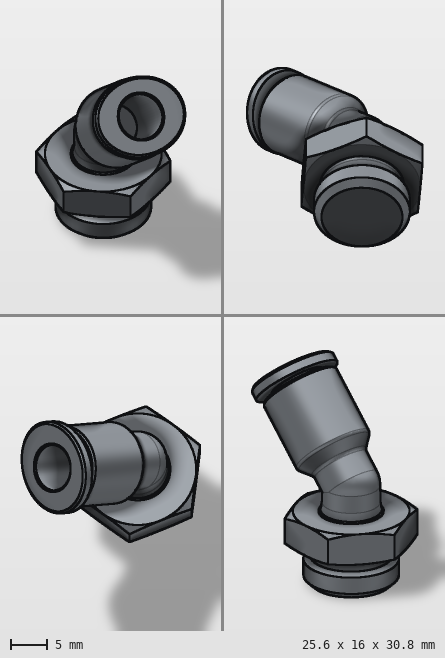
import cadquery as cq
import math

thread_radius = 6.55
thread_end_radius = 5.55
thread_chamfer_height = 1.0
thread_top_z = 3.42
groove_radius = 5.65
groove_bottom_z = 3.9
groove_top_z = 5.48
collar_radius = 5.8

across_flats = 16.0
hex_bottom_z = 5.98
hex_height = 4.53
hex_top_z = hex_bottom_z + hex_height
top_corner_drop = 0.5
bottom_corner_drop = 0.37

tube_radius = 4.0
flare_radius = 4.22
foot_radius = 4.47
foot_height = 0.22
flare_height = 1.4
bend_z = 14.4
bend_angle = 45.0

socket_radius = 5.6
cone_start = 3.45
cone_end = 5.35
socket_end = 15.65
socket_chamfer = 0.3
cone_top_fillet = 0.7
cone_foot_fillet = 0.8

stem_radius = 3.88
collar_gap = 0.7
collar_thickness = 1.6
collar_half_width = 6.5
collar_half_depth = 5.5
collar_chamfer = 0.3
bore_radius = 3.1
bore_depth = 12.32
bore_chamfer = 0.22
bore_chamfer_angle = 45.0

collar_start = socket_end + collar_gap
collar_end = collar_start + collar_thickness
corner_radius = across_flats / math.sqrt(3)
branch_tilt = math.radians(bend_angle)
branch_direction = (math.sin(branch_tilt), 0, math.cos(branch_tilt))
branch_x = (math.cos(branch_tilt), 0, -math.sin(branch_tilt))


def branch_plane(distance):
    """Plane across the tilted axis, at a distance from the bend centre."""
    origin = (distance * branch_direction[0], 0, bend_z + distance * branch_direction[2])
    return cq.Plane(origin=origin, xDir=branch_x, normal=branch_direction)


def revolve_profile(points):
    """Turn (radius, height) points about the Z axis."""
    return cq.Workplane("XZ").polyline(points).close().revolve(360, (0, 0), (0, 1))


def make_threaded_end():
    """Thread with a chamfered tip, a relief groove and a collar flaring to the nut."""
    return revolve_profile([
        (0, 0),
        (thread_end_radius, 0),
        (thread_radius, thread_chamfer_height),
        (thread_radius, thread_top_z),
        (groove_radius, groove_bottom_z),
        (groove_radius, groove_top_z),
        (collar_radius, hex_bottom_z),
        (0, hex_bottom_z),
    ])


def make_hexagon():
    """Hexagon nut with turned corners."""
    prism = (
        cq.Workplane("XY", origin=(0, 0, hex_bottom_z))
        .polygon(6, 2 * corner_radius)
        .extrude(hex_height)
    )
    flat_radius = across_flats / 2
    blank = revolve_profile([
        (0, hex_bottom_z),
        (flat_radius, hex_bottom_z),
        (corner_radius, hex_bottom_z + bottom_corner_drop),
        (corner_radius, hex_top_z - top_corner_drop),
        (flat_radius, hex_top_z),
        (0, hex_top_z),
    ])
    return prism.intersect(blank)


def make_upright_tube():
    """Vertical half of the elbow, ending in a ball that rounds the bend."""
    tube = revolve_profile([
        (0, hex_top_z),
        (foot_radius, hex_top_z),
        (flare_radius, hex_top_z + foot_height),
        (tube_radius, hex_top_z + flare_height),
        (tube_radius, bend_z),
        (0, bend_z),
    ])
    ball = cq.Workplane("XY", origin=(0, 0, bend_z)).sphere(tube_radius)
    return tube.union(ball)


def circle_near(height):
    """Select the circular edge centred on the Z axis at the given height."""
    margin = 0.03
    lower_corner = (-margin, -margin, height - margin)
    upper_corner = (margin, margin, height + margin)
    return cq.selectors.BoxSelector(lower_corner, upper_corner)


def make_socket():
    """Tilted tube with its cone and socket, built upright and then tilted."""
    body = revolve_profile([
        (0, 0),
        (tube_radius, 0),
        (tube_radius, cone_start),
        (socket_radius, cone_end),
        (socket_radius, socket_end - socket_chamfer),
        (socket_radius - socket_chamfer, socket_end),
        (0, socket_end),
    ])
    body = body.edges(circle_near(cone_end)).fillet(cone_top_fillet)
    body = body.edges(circle_near(cone_start)).fillet(cone_foot_fillet)
    return body.rotate((0, 0, 0), (0, 1, 0), bend_angle).translate((0, 0, bend_z))


def make_release_collar():
    """Round stem and oval plate at the tilted end."""
    stem = cq.Workplane(branch_plane(socket_end)).circle(stem_radius).extrude(collar_gap)
    plate = (
        cq.Workplane(branch_plane(collar_start))
        .ellipse(collar_half_depth, collar_half_width)
        .extrude(collar_thickness)
        .faces(">(1, 0, 1)").edges()
        .chamfer(collar_chamfer)
    )
    return stem.union(plate)


def make_bore():
    """Blind tube bore with a chamfered mouth, as a cutting tool."""
    bore = cq.Workplane(branch_plane(collar_end)).circle(bore_radius).extrude(-bore_depth)
    mouth = cq.Workplane(branch_plane(collar_end)).circle(bore_radius + bore_chamfer)
    mouth = mouth.extrude(-bore_chamfer, taper=bore_chamfer_angle)
    return bore.union(mouth)


result = (
    make_threaded_end()
    .union(make_hexagon())
    .union(make_upright_tube())
    .union(make_socket())
    .union(make_release_collar())
    .cut(make_bore())
)